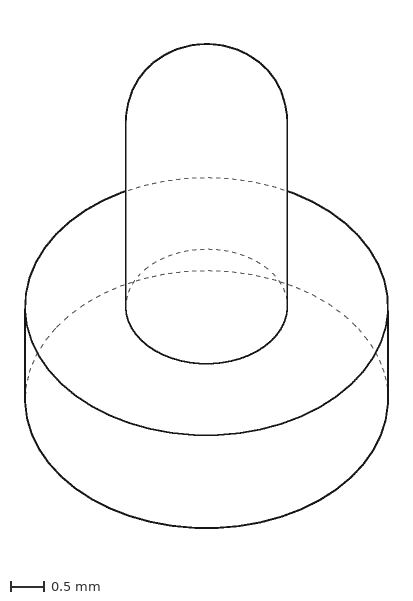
import cadquery as cq

base_diameter = 5.5
base_height = 2.0
pin_diameter = 2.45
total_height = 7.0
tip_radius = 1.0

pin_height = total_height - base_height


def make_base():
    """Flat round head, standing on the XY plane and centred on the Z axis."""
    return cq.Workplane("XY").circle(base_diameter / 2).extrude(base_height)


def make_pin():
    """Straight pin on top of the head, its tip rounded down to a small flat."""
    pin = (
        cq.Workplane("XY")
        .workplane(offset=base_height)
        .circle(pin_diameter / 2)
        .extrude(pin_height)
    )
    return pin.faces(">Z").edges().fillet(tip_radius)


result = make_base().union(make_pin())